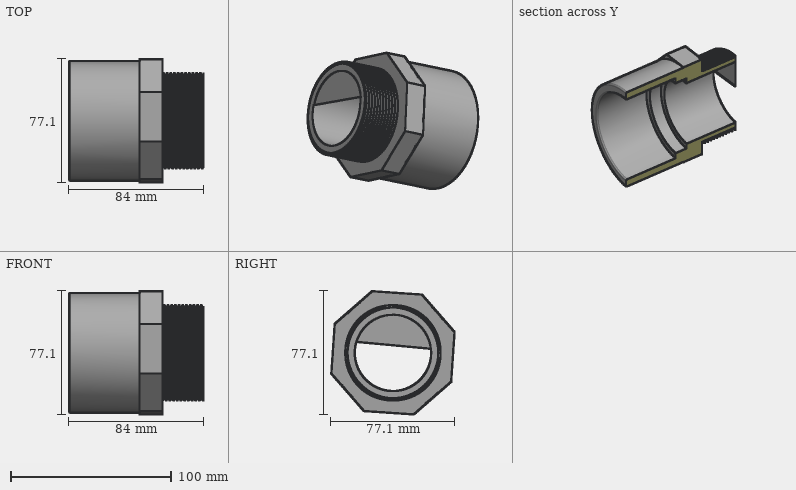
import cadquery as cq
import math

total_length = 84.0
socket_length = 43.9
nut_length = 14.4
thread_start = socket_length + nut_length
thread_length = total_length - thread_start

socket_outer_diameter = 75.0
socket_inner_diameter = 63.0
socket_depth = 38.0
mouth_radius = 0.9

nut_across_flats = 75.2
nut_sides = 8
nut_tilt = 3.9

step_diameter = 55.0
step_depth = 8.4
bore_diameter = 47.6

web_thickness = 0.4
web_edge_height = 4.6
web_tilt = -5.3

core_diameter = 56.6
crest_diameter = 59.6
ten_turns_length = 23.1
pitch = ten_turns_length / 10
ridge_base_width = 1.85
ridge_crest_width = 0.25
ridge_top_crest = 82.5
spare_turns = 2
turn_count = math.ceil(thread_length / pitch) + spare_turns


def cylinder(diameter, start, length):
    """Cylinder about the X axis."""
    return cq.Workplane("YZ").workplane(offset=start).circle(diameter / 2).extrude(length)


def make_nut():
    corner_diameter = nut_across_flats / math.cos(math.pi / nut_sides)
    flat_on_top = 180 / nut_sides
    return (
        cq.Workplane("YZ")
        .workplane(offset=socket_length)
        .polygon(nut_sides, corner_diameter)
        .extrude(nut_length)
        .rotate((0, 0, 0), (1, 0, 0), flat_on_top - nut_tilt)
    )


def make_web():
    """Segment of a disc that fills the bore above a tilted chord."""
    web_start = total_length - web_thickness
    disc = cylinder(bore_diameter, web_start, web_thickness)
    upper_region = (
        cq.Workplane("YZ")
        .workplane(offset=web_start)
        .center(0, web_edge_height + bore_diameter / 2)
        .rect(2 * bore_diameter, bore_diameter)
        .extrude(web_thickness)
        .rotate((0, 0, 0), (1, 0, 0), web_tilt)
    )
    return disc.intersect(upper_region)


def make_fitting():
    socket = cylinder(socket_outer_diameter, 0, socket_length).faces("<X").fillet(mouth_radius)
    core = cylinder(core_diameter, thread_start, thread_length)
    body = socket.union(make_nut()).union(core)
    body = body.cut(cylinder(socket_inner_diameter, 0, socket_depth))
    body = body.cut(cylinder(step_diameter, socket_depth, step_depth))
    body = body.cut(cylinder(bore_diameter, 0, total_length))
    inner_mouth_edge = cq.selectors.RadiusNthSelector(-2)
    body = body.faces("<X").edges(inner_mouth_edge).fillet(mouth_radius)
    return body.union(make_web())


def make_ridge():
    """Untrimmed helical ridge about Z, bounded by ruled surfaces between helices."""
    height = turn_count * pitch
    profile = [
        (core_diameter / 2, -ridge_base_width / 2),
        (crest_diameter / 2, -ridge_crest_width / 2),
        (crest_diameter / 2, ridge_crest_width / 2),
        (core_diameter / 2, ridge_base_width / 2),
    ]
    helices = [cq.Wire.makeHelix(pitch, height, radius, cq.Vector(0, 0, z)) for radius, z in profile]
    faces = [cq.Face.makeRuledSurface(helices[i - 1], helices[i]) for i in range(len(helices))]
    for end_height in (0, height):
        corners = [cq.Vector(radius, 0, z + end_height) for radius, z in profile]
        faces.append(cq.Face.makeFromWires(cq.Wire.makePolygon(corners, close=True)))
    shell = cq.Shell.makeShell(faces)
    return cq.Workplane(obj=cq.Solid.makeSolid(shell))


def make_thread():
    """Right-handed ridge wound on the core and trimmed flush at both ends."""
    ridge = make_ridge().rotate((0, 0, 0), (0, 1, 0), 90).rotate((0, 0, 0), (1, 0, 0), 180)
    helix_start = ridge_top_crest - (turn_count - 1) * pitch
    ridge = ridge.translate((helix_start, 0, 0))
    trim_length = (spare_turns + 1) * pitch
    ridge = ridge.cut(cylinder(2 * crest_diameter, thread_start - trim_length, trim_length))
    return ridge.cut(cylinder(2 * crest_diameter, total_length, trim_length))


fitting = make_fitting()
thread = make_thread()

result = cq.Compound.makeCompound([*fitting.solids().vals(), *thread.solids().vals()])